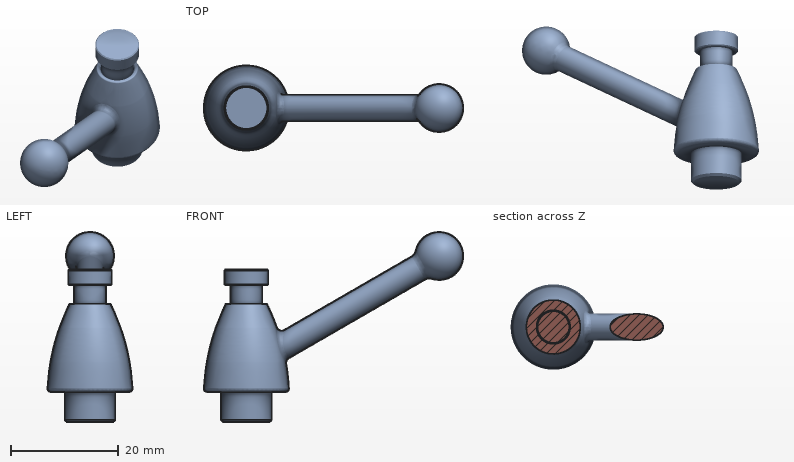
import cadquery as cq
import math

spigot_diameter = 9.5
spigot_chamfer = 0.45
body_diameter = 15.95
body_foot_radius = 8.0
body_bottom = 5.6
body_bottom_round = 0.7
body_middle_radius = 6.75
body_middle_height = 14.3
body_top_radius = 3.83
body_top = 22.1
body_top_round = 0.25
neck_diameter = 6.0
socket_diameter = 6.2
socket_depth = 2.9
socket_mouth_chamfer = 0.2
button_diameter = 8.2
button_bottom = 25.55
button_top = 28.45
button_chamfer = 0.2

overall_length = 48.4
overall_height = 35.5
ball_diameter = 9.0
rod_diameter = 5.0
rod_angle = math.radians(30)
rod_root_fillet = 0.95
rod_ball_fillet = 1.45

body_radius = body_diameter / 2
ball_radius = ball_diameter / 2
ball_x = overall_length - body_radius - ball_radius
ball_z = overall_height - ball_radius


def cylinder(diameter, bottom, top):
    return cq.Workplane("XY").workplane(offset=bottom).circle(diameter / 2).extrude(top - bottom)


def make_body():
    profile = (
        cq.Workplane("XZ")
        .moveTo(0, body_bottom)
        .lineTo(body_foot_radius, body_bottom)
        .threePointArc((body_middle_radius, body_middle_height), (body_top_radius, body_top))
        .lineTo(0, body_top)
        .close()
    )
    body = profile.revolve(360, (0, 0, 0), (0, 1, 0))
    body = body.faces("<Z").edges().fillet(body_bottom_round)
    return body.faces(">Z").edges().fillet(body_top_round)


def make_lever():
    direction = cq.Vector(math.cos(rod_angle), 0, math.sin(rod_angle))
    rod_length = ball_x / math.cos(rod_angle)
    rod_start = cq.Vector(ball_x, 0, ball_z) - direction * rod_length
    rod = cq.Workplane(cq.Solid.makeCylinder(rod_diameter / 2, rod_length, rod_start, direction))
    ball_plane = cq.Plane((ball_x, 0, ball_z), (0, 1, 0), direction.toTuple())
    lever = rod.union(cq.Workplane(ball_plane).sphere(ball_radius))
    joint_distance = math.sqrt(ball_radius**2 - (rod_diameter / 2) ** 2)
    joint = cq.Vector(ball_x, 0, ball_z) - direction * joint_distance
    joint_edge = cq.selectors.NearestToPointSelector(joint.toTuple())
    return lever.edges("%CIRCLE").edges(joint_edge).fillet(rod_ball_fillet)


def make_spigot():
    spigot = cylinder(spigot_diameter, 0, body_bottom)
    return spigot.faces("<Z").chamfer(spigot_chamfer)


def make_socket():
    socket_bottom = body_top - socket_depth
    socket = cylinder(socket_diameter, socket_bottom, body_top)
    mouth = (
        cq.Workplane("XY")
        .workplane(offset=body_top)
        .circle(socket_diameter / 2 + socket_mouth_chamfer)
        .extrude(-socket_mouth_chamfer, taper=45)
    )
    return socket.union(mouth)


def make_button():
    neck = cylinder(neck_diameter, body_top - socket_depth, button_bottom)
    button = cylinder(button_diameter, button_bottom, button_top)
    return neck.union(button.faces("<Z or >Z").chamfer(button_chamfer))


hub_and_lever = make_body().union(make_lever())
rod_root = hub_and_lever.edges("not (%CIRCLE or %LINE)")
hub_and_lever = rod_root.fillet(rod_root_fillet)

result = hub_and_lever.cut(make_socket()).union(make_spigot()).union(make_button())